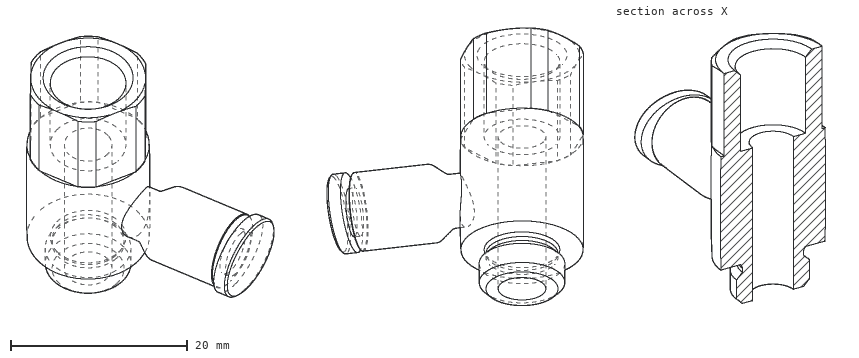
import cadquery as cq
import math

TOTAL_HEIGHT = 30.0

SPIGOT_RADIUS = 4.85
SPIGOT_CHAMFER = 0.78
SPIGOT_TOP_Z = 3.25
NECK_RADIUS = SPIGOT_RADIUS - SPIGOT_CHAMFER
NECK_BOTTOM_Z = SPIGOT_TOP_Z + SPIGOT_CHAMFER
NECK_TOP_Z = 4.53
NECK_FLARE_RADIUS = 4.3

BODY_DIAMETER = 14.0
BODY_RADIUS = BODY_DIAMETER / 2
BODY_BOTTOM_Z = 5.0
BODY_TOP_Z = 19.5
TAPER_LENGTH = 1.98
TAPER_ANGLE = 2.0

HEX_SIDES = 6
HEX_ACROSS_FLATS = 13.02
HEX_TOP_RADIUS = HEX_ACROSS_FLATS / 2
HEX_TOP_CHAMFER_HEIGHT = 0.18

SOCKET_RADIUS = 4.3
SOCKET_CHAMFER = 0.8
SOCKET_DEPTH = TOTAL_HEIGHT - BODY_TOP_Z
THROUGH_RADIUS = 2.7

BRANCH_Z = 12.25
BRANCH_RADIUS = 4.5
BRANCH_END_X = 19.1
BRANCH_END_CHAMFER = 0.1
BRANCH_NECK_RADIUS = 3.1
BRANCH_NECK_END_X = 8.05
SHOULDER_ANGLE = 38.0
SHOULDER_BLEND_RADIUS = 1.0
STEM_RADIUS = 2.75

COLLAR_START_X = 19.85
COLLAR_END_X = 21.5
COLLAR_WIDTH = 10.8
COLLAR_HEIGHT = 8.6
COLLAR_CHAMFER = 0.25


def make_body():
    """Spigot, neck and round body turned about Z."""
    end_radius = BODY_RADIUS - TAPER_LENGTH * math.tan(math.radians(TAPER_ANGLE))
    return (
        cq.Workplane("XZ")
        .moveTo(0, 0)
        .lineTo(NECK_RADIUS, 0)
        .lineTo(SPIGOT_RADIUS, SPIGOT_CHAMFER)
        .lineTo(SPIGOT_RADIUS, SPIGOT_TOP_Z)
        .lineTo(NECK_RADIUS, NECK_BOTTOM_Z)
        .lineTo(NECK_RADIUS, NECK_TOP_Z)
        .lineTo(NECK_FLARE_RADIUS, BODY_BOTTOM_Z)
        .lineTo(end_radius, BODY_BOTTOM_Z)
        .lineTo(BODY_RADIUS, BODY_BOTTOM_Z + TAPER_LENGTH)
        .lineTo(BODY_RADIUS, BODY_TOP_Z - TAPER_LENGTH)
        .lineTo(end_radius, BODY_TOP_Z)
        .lineTo(0, BODY_TOP_Z)
        .close()
        .revolve(360, (0, 0), (0, 1))
    )


def make_hex_head():
    """Hexagon with flats facing +Y and -Y, its corners turned to the body radius."""
    hexagon = (
        cq.Workplane("XY")
        .workplane(offset=BODY_TOP_Z)
        .polygon(HEX_SIDES, HEX_ACROSS_FLATS, circumscribed=True)
        .extrude(TOTAL_HEIGHT - BODY_TOP_Z)
        .rotate((0, 0, 0), (0, 0, 1), 180 / HEX_SIDES)
    )
    turned_envelope = (
        cq.Workplane("XZ")
        .moveTo(0, BODY_TOP_Z)
        .lineTo(BODY_RADIUS, BODY_TOP_Z)
        .lineTo(BODY_RADIUS, TOTAL_HEIGHT - HEX_TOP_CHAMFER_HEIGHT)
        .lineTo(HEX_TOP_RADIUS, TOTAL_HEIGHT)
        .lineTo(0, TOTAL_HEIGHT)
        .close()
        .revolve(360, (0, 0), (0, 1))
    )
    return hexagon.intersect(turned_envelope)


def make_branch():
    """Side branch turned about its own X axis, from the main axis to the collar."""
    slope = math.radians(SHOULDER_ANGLE)
    blend_run = SHOULDER_BLEND_RADIUS * math.sin(slope)
    blend_rise = SHOULDER_BLEND_RADIUS * (1 - math.cos(slope))
    cone_rise = BRANCH_RADIUS - BRANCH_NECK_RADIUS - 2 * blend_rise
    cone_start = (BRANCH_NECK_END_X + blend_run, BRANCH_NECK_RADIUS + blend_rise)
    cone_end = (cone_start[0] + cone_rise / math.tan(slope), cone_start[1] + cone_rise)
    shoulder_end = (cone_end[0] + blend_run, BRANCH_RADIUS)
    profile = (
        cq.Workplane("XZ")
        .moveTo(0, 0)
        .lineTo(0, BRANCH_NECK_RADIUS)
        .lineTo(BRANCH_NECK_END_X, BRANCH_NECK_RADIUS)
        .tangentArcPoint(cone_start, relative=False)
        .lineTo(*cone_end)
        .tangentArcPoint(shoulder_end, relative=False)
        .lineTo(BRANCH_END_X - BRANCH_END_CHAMFER, BRANCH_RADIUS)
        .lineTo(BRANCH_END_X, BRANCH_RADIUS - BRANCH_END_CHAMFER)
        .lineTo(BRANCH_END_X, STEM_RADIUS)
        .lineTo(COLLAR_START_X, STEM_RADIUS)
        .lineTo(COLLAR_START_X, 0)
        .close()
    )
    return profile.revolve(360, (0, 0), (1, 0)).translate((0, 0, BRANCH_Z))


def make_collar():
    """Elliptical disc, wider along Y, with its outer rim chamfered."""
    return (
        cq.Workplane("YZ", origin=(COLLAR_START_X, 0, BRANCH_Z))
        .ellipse(COLLAR_WIDTH / 2, COLLAR_HEIGHT / 2)
        .extrude(COLLAR_END_X - COLLAR_START_X)
        .faces(">X")
        .chamfer(COLLAR_CHAMFER)
    )


def make_bores():
    """Through hole and the wider, chamfered socket in the hexagonal head."""
    socket_floor_z = TOTAL_HEIGHT - SOCKET_DEPTH
    return (
        cq.Workplane("XZ")
        .moveTo(0, 0)
        .lineTo(THROUGH_RADIUS, 0)
        .lineTo(THROUGH_RADIUS, socket_floor_z)
        .lineTo(SOCKET_RADIUS, socket_floor_z)
        .lineTo(SOCKET_RADIUS, TOTAL_HEIGHT - SOCKET_CHAMFER)
        .lineTo(SOCKET_RADIUS + SOCKET_CHAMFER, TOTAL_HEIGHT)
        .lineTo(0, TOTAL_HEIGHT)
        .close()
        .revolve(360, (0, 0), (0, 1))
    )


result = (
    make_body()
    .union(make_hex_head())
    .union(make_branch())
    .union(make_collar())
    .cut(make_bores())
)